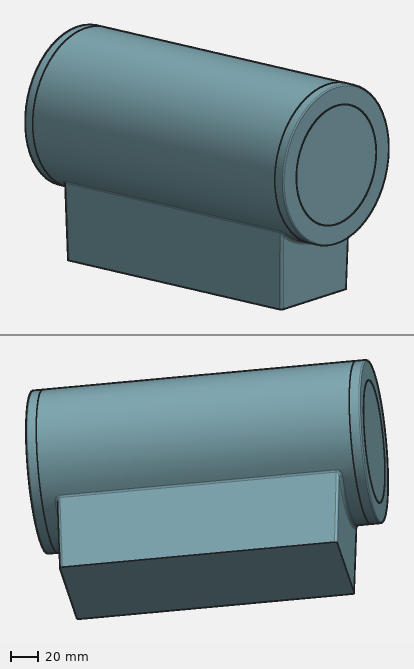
import cadquery as cq
import math

overall_length = 248.0
barrel_diameter = 120.0
overall_height = 166.0

ring_width = 8.0
ring_edge_radius = 1.0
ring_bore_diameter = 90.3
disc_clearance = 0.2

base_length = 205.8
base_width = 74.2
base_corner_radius = 2.0
base_draft_angle = 1.5
base_blend_radius = 2.2

barrel_radius = barrel_diameter / 2
barrel_length = overall_length - 2 * ring_width
barrel_end = barrel_length / 2
disc_diameter = ring_bore_diameter - 2 * disc_clearance
base_height = overall_height - barrel_radius


def make_base():
    """Drafted block with rounded upright corners, reaching up to the barrel axis."""
    growth = 2 * base_height * math.tan(math.radians(base_draft_angle))
    return (
        cq.Workplane("XY")
        .workplane(offset=-base_height)
        .rect(base_length, base_width)
        .workplane(offset=base_height)
        .rect(base_length + growth, base_width + growth)
        .loft(ruled=True)
        .edges("not(|X or |Y)")
        .fillet(base_corner_radius)
    )


def make_housing():
    """Barrel and base in one piece, with a small blend where they meet."""
    barrel = cq.Workplane("YZ").circle(barrel_radius).extrude(barrel_end, both=True)
    housing = barrel.union(make_base())
    joint_reach = (base_length / 2 + barrel_end) / 2
    joint_edges = cq.selectors.BoxSelector(
        (-joint_reach, -base_width, -overall_height / 2),
        (joint_reach, base_width, -barrel_radius / 2),
    )
    return housing.edges(joint_edges).fillet(base_blend_radius)


def make_end_plate(side, diameter):
    """Round plate, one ring width thick, against the barrel end on the given side."""
    plate = cq.Workplane("YZ").circle(diameter / 2).extrude(side * ring_width)
    return plate.translate((side * barrel_end, 0, 0))


def make_end_ring(side):
    """Ring on one barrel end, with its outer rim rounded."""
    outer_face = ">X" if side > 0 else "<X"
    ring = make_end_plate(side, barrel_diameter).faces(outer_face).edges().fillet(ring_edge_radius)
    return ring.cut(make_end_plate(side, ring_bore_diameter))


def make_end_disc(side):
    """Disc inside one end ring, resting on the barrel end and flush with the ring."""
    return make_end_plate(side, disc_diameter)


housing = make_housing().solids()
end_rings = []
end_discs = []
for side in (-1, 1):
    end_rings.append(make_end_ring(side).solids().val())
    end_discs.append(make_end_disc(side).solids().val())

result = cq.Compound.makeCompound([housing.val(), *end_rings, *end_discs])